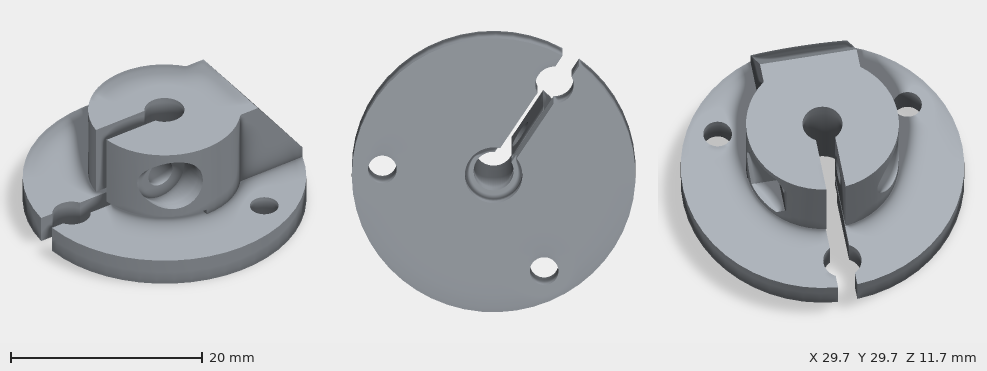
import cadquery as cq
import math

base_diameter = 29.7
base_thickness = 3.0
mount_hole_diameter = 3.0
mount_hole_x = 10.1
mount_hole_y = 5.82

total_height = 11.65
collar_diameter = 16.0
buttress_width = 10.28
buttress_top_y = 8.32

bore_diameter = 4.2
bore_recess_diameter = 6.03
bore_recess_depth = 1.7
slit_width = 2.05
slit_relief_diameter = 4.0
slit_relief_y = -11.68
gap_height = 0.6

screw_y = -3.5
screw_z = 7.65
screw_hole_diameter = 3.0
screw_head_diameter = 6.03
screw_head_seat_x = 4.52
nut_across_flats = 6.63
nut_seat_x = -4.95

base_radius = base_diameter / 2
collar_radius = collar_diameter / 2


def upright_cylinder(diameter, bottom, top, x=0.0, y=0.0):
    """Vertical cylinder between two heights."""
    plane = cq.Workplane("XY", origin=(x, y, bottom))
    return plane.circle(diameter / 2).extrude(top - bottom)


def screw_plane(x):
    """Work plane across the screw axis, facing +X."""
    return cq.Workplane("YZ", origin=(x, screw_y, screw_z))


def make_buttress():
    """Sloping block that follows the rim of the base at its back."""
    side_profile = [
        (0, 0),
        (base_radius, 0),
        (base_radius, base_thickness),
        (buttress_top_y, total_height),
        (0, total_height),
    ]
    block = cq.Workplane("YZ").polyline(side_profile).close().extrude(buttress_width / 2, both=True)
    return block.intersect(upright_cylinder(base_diameter, 0, total_height))


def make_gap():
    """Thin half-plane cut between the base and the front half of the collar."""
    return (
        cq.Workplane("XY", origin=(0, 0, base_thickness))
        .rect(base_diameter, base_radius)
        .extrude(gap_height)
        .translate((0, -base_radius / 2, 0))
    )


def make_slit():
    """Slit from the bore axis out through the front rim."""
    return (
        cq.Workplane("XY")
        .rect(slit_width, base_radius)
        .extrude(total_height)
        .translate((0, -base_radius / 2, 0))
    )


def make_nut_pocket():
    """Hexagonal pocket open to -X, with corners pointing along Y."""
    across_corners = nut_across_flats / math.cos(math.pi / 6)
    return screw_plane(nut_seat_x).polygon(6, across_corners).extrude(-base_radius - nut_seat_x)


result = upright_cylinder(base_diameter, 0, base_thickness)
result = result.union(upright_cylinder(collar_diameter, 0, total_height))
result = result.union(make_buttress())

result = result.cut(upright_cylinder(bore_diameter, 0, total_height))
result = result.cut(upright_cylinder(bore_recess_diameter, 0, bore_recess_depth))
result = result.cut(make_slit())
result = result.cut(upright_cylinder(slit_relief_diameter, 0, base_thickness, y=slit_relief_y))
result = result.cut(make_gap())

for side in (-1, 1):
    hole = upright_cylinder(mount_hole_diameter, 0, base_thickness, side * mount_hole_x, mount_hole_y)
    result = result.cut(hole)

screw_hole = screw_plane(-collar_radius).circle(screw_hole_diameter / 2).extrude(collar_diameter)
head_recess_depth = collar_radius - screw_head_seat_x
head_recess = screw_plane(screw_head_seat_x).circle(screw_head_diameter / 2).extrude(head_recess_depth)
result = result.cut(screw_hole)
result = result.cut(head_recess)
result = result.cut(make_nut_pocket())